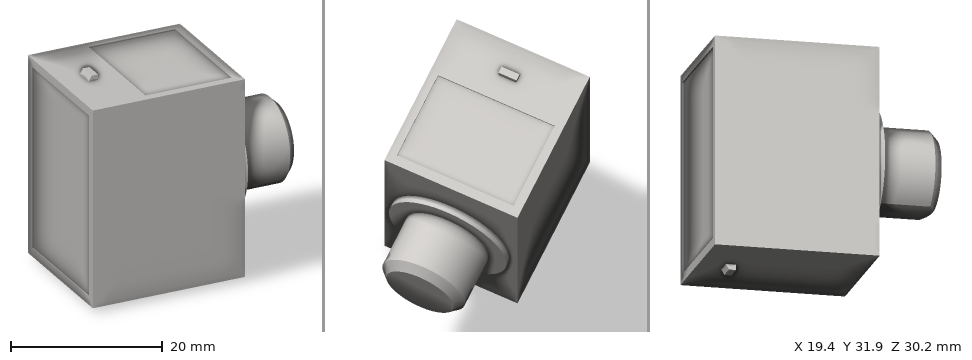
import cadquery as cq

body_width = 19.4
body_depth = 22.33
body_height = 28.7

recess_margin = 1.2
recess_depth = 0.2
recess_width = body_width - 2 * recess_margin
front_recess_height = body_height - 2 * recess_margin
top_recess_front = 8.33
top_recess_rear_margin = 1.35
top_recess_back = body_depth - top_recess_rear_margin

overall_depth = 31.9
collar_diameter = 17.13
collar_thickness = 1.02
bushing_diameter = 12.05
bushing_chamfer = 1.12
bushing_flat_offset = 5.15

overall_height = 30.25
tab_width = 2.6
tab_front = 3.5
tab_crest = 3.92
tab_back = 4.88


def make_body():
    return cq.Workplane("XY").box(body_width, body_depth, body_height, centered=(True, False, True))


def make_front_recess():
    return cq.Workplane("XY").box(
        recess_width, recess_depth, front_recess_height, centered=(True, False, True)
    )


def make_top_recess():
    length = top_recess_back - top_recess_front
    return (
        cq.Workplane("XY")
        .box(recess_width, length, recess_depth, centered=(True, False, False))
        .translate((0, top_recess_front, body_height / 2 - recess_depth))
    )


def make_back_cylinder(diameter, end):
    """Cylinder along +Y from the back face to y = end."""
    back_plane = cq.Workplane("XZ", origin=(0, body_depth, 0))
    return back_plane.circle(diameter / 2).extrude(body_depth - end)


def make_bushing():
    bushing = make_back_cylinder(bushing_diameter, overall_depth).faces(">Y").chamfer(bushing_chamfer)
    flat_height = bushing_diameter / 2 + bushing_flat_offset
    keep = (
        cq.Workplane("XY")
        .box(bushing_diameter, overall_depth, flat_height, centered=(True, False, False))
        .translate((0, 0, -bushing_flat_offset))
    )
    return bushing.intersect(keep)


def make_top_tab():
    base = body_height / 2
    crest = overall_height / 2
    return (
        cq.Workplane("YZ")
        .polyline([(tab_front, base), (tab_crest, crest), (tab_back, crest), (tab_back, base)])
        .close()
        .extrude(tab_width / 2, both=True)
    )


top_tab = make_top_tab()
collar = make_back_cylinder(collar_diameter, body_depth + collar_thickness)

result = (
    make_body()
    .cut(make_front_recess())
    .cut(make_top_recess())
    .union(collar)
    .union(make_bushing())
    .union(top_tab)
    .union(top_tab.mirror("XY"))
)